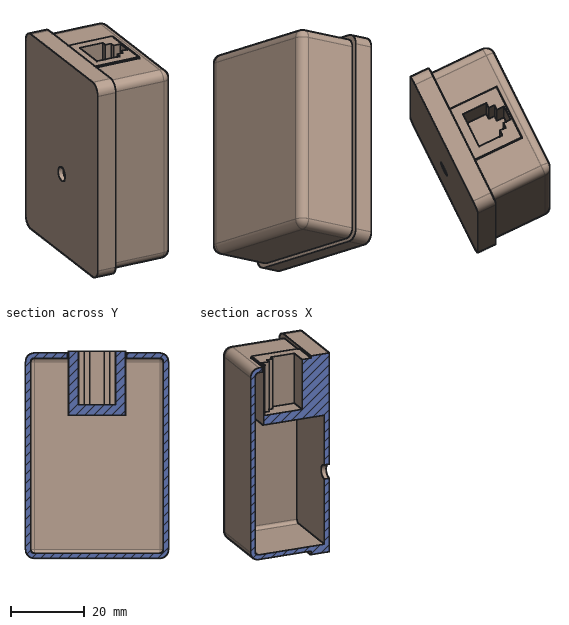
import cadquery as cq

plate_width = 42.0
plate_height = 58
plate_thickness = 5.5
plate_corner_radius = 3.0

total_depth = 23.5
cover_width = 39.0
cover_height = 55.9
cover_radius = 2.5

wall = 1.5
cavity_radius = cover_radius - wall

jack_width = 15.55
jack_back = 19.65
jack_gap = 0.2
jack_protrusion = 0.4
jack_length = 17.4
jack_top = cover_height / 2 + jack_protrusion

socket_depth = 14.5
socket_floor = 8.2
contact_width = 10.0
contact_level = 15.25
shoulder_width = 6.95
shoulder_level = 17.0
latch_width = 4.05
latch_level = 19.15

screw_diameter = 4.0
screw_z = -5.5


def upright_block(width, height, y_start, y_end):
    """Block centred in X and Z that spans the given Y range."""
    depth = y_end - y_start
    return cq.Workplane("XY").box(width, depth, height).translate((0, y_start + depth / 2, 0))


def rounded_cover(width, height, y_start, y_end, radius):
    """Block with rounded corners along Y and a rounded rim on its +Y face."""
    block = upright_block(width, height, y_start, y_end)
    return block.edges("|Y").fillet(radius).faces(">Y").edges().fillet(radius)


def jack_opening():
    """Opening through the +Z end wall that leaves a thin gap around the jack block."""
    y_end = jack_back + jack_gap
    depth = y_end - plate_thickness
    centre = (0, plate_thickness + depth / 2, jack_top - jack_length / 2)
    return cq.Workplane("XY").box(jack_width + 2 * jack_gap, depth, jack_length).translate(centre)


def jack_block():
    depth = jack_back - wall
    centre = (0, wall + depth / 2, jack_top - jack_length / 2)
    return cq.Workplane("XY").box(jack_width, depth, jack_length).translate(centre)


def jack_socket():
    """Three nested slots that share one floor and form the stepped opening."""
    steps = [
        (contact_width, contact_level),
        (shoulder_width, shoulder_level),
        (latch_width, latch_level),
    ]
    socket = cq.Workplane("XY")
    for width, level in steps:
        depth = level - socket_floor
        centre = (0, socket_floor + depth / 2, jack_top - socket_depth / 2)
        slot = cq.Workplane("XY").box(width, depth, socket_depth).translate(centre)
        socket = socket.union(slot)
    return socket


plate = upright_block(plate_width, plate_height, 0, plate_thickness)
plate = plate.edges("|Y").fillet(plate_corner_radius)
cover = rounded_cover(cover_width, cover_height, 0, total_depth, cover_radius)
cavity = rounded_cover(
    cover_width - 2 * wall, cover_height - 2 * wall, wall, total_depth - wall, cavity_radius
)
screw_hole = (
    cq.Workplane("XZ").center(0, screw_z).circle(screw_diameter / 2).extrude(-2 * wall)
)

housing = plate.union(cover).cut(cavity).cut(jack_opening()).cut(screw_hole)
result = housing.union(jack_block()).cut(jack_socket())